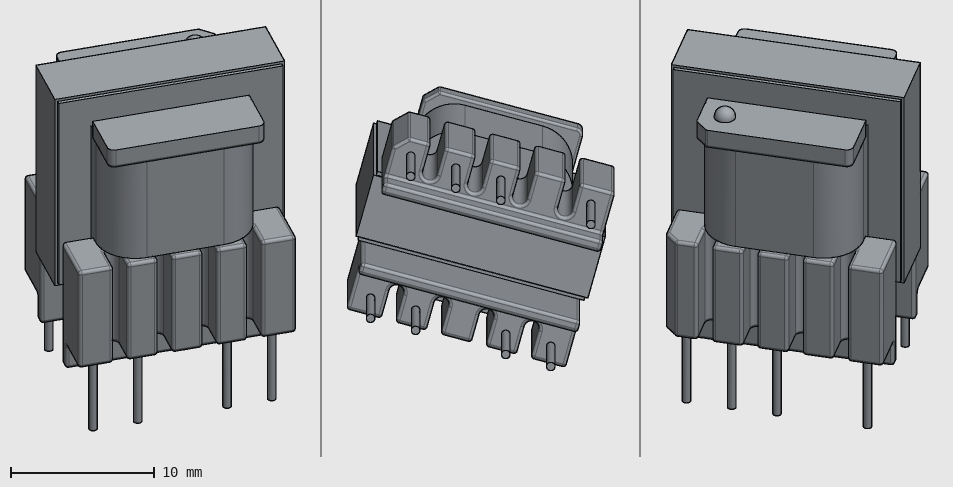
import cadquery as cq


core_depth = 5.1
core_width = 16.32
core_height = 15.1
core_bottom = 6.53
core_mid_z = core_bottom + core_height / 2
core_face_x = core_depth / 2
window_width = 11.64
window_height = 10.4
band_thickness = 0.2
band_depth = 4.55

bobbin_depth = 13.0
bobbin_width = 15.8
bobbin_end_x = bobbin_depth / 2
block_bottom = 1.98
block_top = 9.97
block_edge_radius = 0.24
block_chamfer = 0.95
skirt_thickness = 0.85
skirt_outer_x = core_face_x + skirt_thickness

pin_count = 5
pin_pitch = 3.25
pin_diameter = 0.6
pin_x = 5.27
pin_exposed_length = 4.03
pin_embedded_length = 0.5
left_missing_pin = 1
right_missing_pin = 2
slot_width = 1.05
slot_end_x = skirt_outer_x + 0.5

flange_width = 11.38
flange_top = 19.67
flange_thickness = 1.5
flange_bottom = flange_top - flange_thickness
flange_corner_radius = 0.5
flange_edge_radius = 0.2
flange_chamfer = 0.92
flange_chamfer_radius = 0.22

winding_depth = 12.06
winding_width = 11.32
winding_radius = 2.86

dot_radius = 0.75
dot_x = -4.55
dot_y = 3.93


def centred_box(depth, width, height):
    """A box centred on the middle of the core."""
    return cq.Workplane("XY").box(depth, width, height).translate((0, 0, core_mid_z))


def side_box(outer_x, width, bottom, top):
    """A box that stands on the +X face of the core and is centred on y = 0."""
    depth = outer_x - core_face_x
    low_corner = (core_face_x, -width / 2, bottom)
    return cq.Workplane("XY").box(depth, width, top - bottom, centered=False).translate(low_corner)


def edge_near(x, y, z):
    """A selector for the one edge whose middle is nearest to a point."""
    return cq.selectors.NearestToPointSelector((x, y, z))


def spread(index, count):
    """The y of one item in a row of evenly pitched items centred on y = 0."""
    return (index - (count - 1) / 2) * pin_pitch


def make_core():
    frame = centred_box(core_depth, core_width, core_height)
    band = centred_box(band_depth, core_width + 2 * band_thickness, core_height + 2 * band_thickness)
    window = centred_box(core_depth, window_width, window_height)
    return frame.union(band).cut(window)


def make_winding():
    """The rounded winding, with the part of the bobbin that fills the core window."""
    coil = (
        cq.Workplane("XY")
        .workplane(offset=block_top)
        .rect(winding_depth, winding_width)
        .extrude(flange_bottom + flange_edge_radius - block_top)
        .edges("|Z")
        .fillet(winding_radius)
    )
    return coil.union(centred_box(core_depth, winding_width, window_height))


def wire_slot(y):
    """A cutter for one slot in the outer face of a terminal block."""
    radius = slot_width / 2
    arc_x = slot_end_x + radius
    return (
        cq.Workplane("XY")
        .workplane(offset=block_bottom)
        .moveTo(bobbin_end_x, y - radius)
        .lineTo(arc_x, y - radius)
        .threePointArc((slot_end_x, y), (arc_x, y + radius))
        .lineTo(bobbin_end_x, y + radius)
        .close()
        .extrude(block_top - block_bottom)
    )


def terminal_block(is_first_pin_side):
    """The slotted block and its skirt, built on the +X side of the core."""
    block = side_box(bobbin_end_x, bobbin_width, block_bottom, block_top)
    if is_first_pin_side:
        corner = edge_near(bobbin_end_x, bobbin_width / 2, (block_bottom + block_top) / 2)
        block = block.edges(corner).chamfer(block_chamfer)
    slot_count = pin_count - 1
    for index in range(slot_count):
        block = block.cut(wire_slot(spread(index, slot_count)))
    block = block.union(side_box(skirt_outer_x, bobbin_width, 0, block_top))
    core_side_edge = edge_near(core_face_x, 0, block_top)
    return block.edges(cq.selectors.InverseSelector(core_side_edge)).fillet(block_edge_radius)


def flange(is_first_pin_side):
    """The flange above the winding, built on the +X side of the core."""
    plate = side_box(bobbin_end_x, flange_width, flange_bottom, flange_top)
    mid_z = (flange_bottom + flange_top) / 2
    marked_corner = edge_near(bobbin_end_x, flange_width / 2, mid_z)
    plain_corner = edge_near(bobbin_end_x, -flange_width / 2, mid_z)
    plate = plate.edges(plain_corner).fillet(flange_corner_radius)
    if is_first_pin_side:
        plate = plate.edges(marked_corner).chamfer(flange_chamfer)
        side_end = edge_near(bobbin_end_x - flange_chamfer, flange_width / 2, mid_z)
        plate = plate.edges(side_end).fillet(flange_chamfer_radius)
        outer_end = edge_near(bobbin_end_x, flange_width / 2 - flange_chamfer, mid_z)
        plate = plate.edges(outer_end).fillet(flange_chamfer_radius)
    else:
        plate = plate.edges(marked_corner).fillet(flange_corner_radius)
    core_side_edge = edge_near(core_face_x, 0, flange_bottom)
    return plate.faces("<Z").edges(cq.selectors.InverseSelector(core_side_edge)).fillet(flange_edge_radius)


def pin_row(missing_pin):
    """The pins of one terminal block, built on the +X side of the core."""
    places = [(pin_x, spread(index, pin_count)) for index in range(pin_count) if index != missing_pin]
    return (
        cq.Workplane("XY")
        .workplane(offset=-pin_exposed_length)
        .pushPoints(places)
        .circle(pin_diameter / 2)
        .extrude(pin_exposed_length + block_bottom + pin_embedded_length)
    )


def bobbin_side(is_first_pin_side, missing_pin):
    """Terminal block, flange and pins of one side, built on the +X side of the core."""
    return [terminal_block(is_first_pin_side), flange(is_first_pin_side), pin_row(missing_pin)]


def make_bobbin():
    body = make_winding()
    for piece in bobbin_side(False, right_missing_pin):
        body = body.union(piece)
    for piece in bobbin_side(True, left_missing_pin):
        body = body.union(piece.mirror("YZ"))
    dot = cq.Workplane("XY").sphere(dot_radius).translate((dot_x, dot_y, flange_top))
    return body.union(dot)


core = make_core()
bobbin = make_bobbin()
result = cq.Compound.makeCompound([*core.solids().vals(), *bobbin.solids().vals()])